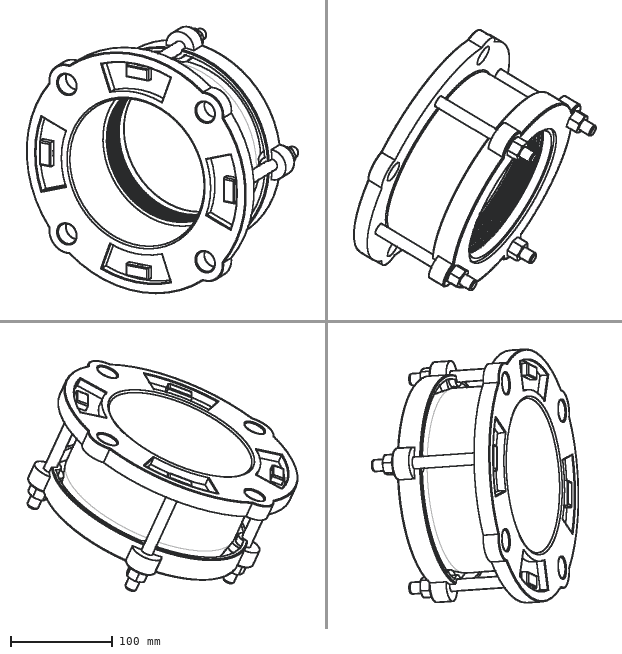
import cadquery as cq
import math

ORIGIN = cq.Vector(0, 0, 0)
AXIS = cq.Vector(0, 1, 0)

FLANGE_RADIUS = 125.0
FLANGE_THICKNESS = 16.5
FLANGE_EDGE = 0.8
EAR_OFFSET = 78.8
EAR_RADIUS = 20.5
EAR_HOLE_RADIUS = 20.8 / 2
EAR_HOLE_CHAMFER = 1.0

POCKET_INNER_RADIUS = 85.0
POCKET_OUTER_RADIUS = 114.5
POCKET_HALF_ANGLE = 20.0
POCKET_DEPTH = 8.5
POCKET_EDGE = 0.8

SLEEVE_RADIUS = 183.0 / 2
SLEEVE_ROOT = 1.2
SLEEVE_TAPER_START = 78.8
SLEEVE_TAPER_RADIUS = 87.5

GLAND_RADIUS = 105.0
GLAND_FRONT = 80.2
GLAND_BACK = 105.2
GLAND_FRONT_EDGE = 1.0
GLAND_BACK_EDGE = 1.2
RECESS_RADIUS = 100.8
RECESS_FLOOR = 95.0
LUG_RADIUS = 15.8
LUG_FRONT = 87.0
BOSS_RADIUS = 10.0

BORE_RADIUS = 153.0 / 2
BORE_CHAMFER = 2.0
SEAL_RADIUS = 145.0 / 2
SEAL_GROOVE_RADIUS = 149.0 / 2
SEAL_FRONT = 67.5
SEAL_RIB_END = 92.5
SEAL_BACK = 102.2
SEAL_GROOVES = 6

BOLT_COUNT = 4
BOLT_CIRCLE_RADIUS = 104.8
BOLT_RADIUS = 11.8 / 2
BOLT_HOLE_RADIUS = 12.0 / 2
BOLT_END = 130.2
BOLT_TIP_RADIUS = 10.0 / 2
BOLT_TIP_LENGTH = 1.5
HEAD_LENGTH = 25.5
HEAD_WIDTH = 12.2
HEAD_FRONT = 1.5
HEAD_END_CHAMFER = 1.5
HEAD_SIDE_CHAMFER = 1.0
NUT_ACROSS_FLATS = 18.2
NUT_HEIGHT = 11.8
NUT_CHAMFER = 1.0


def cylinder(radius, start, end, x=0, z=0):
    """Cylinder along Y from start to end, centred on (x, z)."""
    return cq.Workplane(cq.Solid.makeCylinder(radius, end - start, cq.Vector(x, start, z), AXIS))


def ring_of_four(shape):
    """The shape and its copies at quarter turns about the axis."""
    return [shape.rotate(ORIGIN, AXIS, 360 / BOLT_COUNT * i) for i in range(BOLT_COUNT)]


def add_all(body, shapes):
    for shape in shapes:
        body = body.union(shape)
    return body


def cut_all(body, shapes):
    for shape in shapes:
        body = body.cut(shape)
    return body


def make_flange():
    disc = cylinder(FLANGE_RADIUS, 0, FLANGE_THICKNESS).faces("<Y").chamfer(FLANGE_EDGE)
    ear = cylinder(EAR_RADIUS, 0, FLANGE_THICKNESS, EAR_OFFSET, EAR_OFFSET)
    flange = add_all(disc, ring_of_four(ear.faces("<Y").chamfer(FLANGE_EDGE)))
    hole = cylinder(EAR_HOLE_RADIUS, 0, FLANGE_THICKNESS, EAR_OFFSET, EAR_OFFSET)
    hole = hole.union(countersink(EAR_HOLE_RADIUS, EAR_HOLE_CHAMFER, EAR_OFFSET, EAR_OFFSET))
    return cut_all(flange, ring_of_four(hole))


def countersink(hole_radius, size, x=0, z=0):
    """Cone that breaks the front edge of a hole."""
    return cq.Workplane(cq.Solid.makeCone(hole_radius + size, hole_radius, size, cq.Vector(x, 0, z), AXIS))


def pocket_outline(plane, widening):
    """Wedge around +Z; its outer arc and its straight ends are moved out by the widening."""

    def on_arc(radius, side):
        angle = math.radians(POCKET_HALF_ANGLE) + math.asin(widening / radius)
        return (side * radius * math.sin(angle), radius * math.cos(angle))

    outer_radius = POCKET_OUTER_RADIUS + widening
    return (
        plane.moveTo(*on_arc(POCKET_INNER_RADIUS, -1))
        .threePointArc((0, POCKET_INNER_RADIUS), on_arc(POCKET_INNER_RADIUS, 1))
        .lineTo(*on_arc(outer_radius, 1))
        .threePointArc((0, outer_radius), on_arc(outer_radius, -1))
        .close()
    )


def make_pocket():
    """Wedge-shaped pocket with a bevelled rim on its outer side and at its ends."""
    pocket = pocket_outline(cq.Workplane("XZ"), 0).extrude(-POCKET_DEPTH)
    rim = pocket_outline(cq.Workplane("XZ"), POCKET_EDGE).workplane(offset=-POCKET_EDGE)
    bevel = pocket_outline(rim, 0).loft(ruled=True)
    return pocket.union(bevel.cut(cylinder(POCKET_INNER_RADIUS, 0, POCKET_EDGE)))


def make_sleeve_and_gland():
    """Revolved outside, with the recess between the sleeve and the gland rim."""
    ring = (
        cq.Workplane("XY")
        .moveTo(0, 0)
        .lineTo(SLEEVE_RADIUS + SLEEVE_ROOT, 0)
        .lineTo(SLEEVE_RADIUS + SLEEVE_ROOT, FLANGE_THICKNESS)
        .lineTo(SLEEVE_RADIUS, FLANGE_THICKNESS + SLEEVE_ROOT)
        .lineTo(SLEEVE_RADIUS, SLEEVE_TAPER_START)
        .lineTo(SLEEVE_TAPER_RADIUS, RECESS_FLOOR)
        .lineTo(RECESS_RADIUS, RECESS_FLOOR)
        .lineTo(RECESS_RADIUS, GLAND_FRONT)
        .lineTo(GLAND_RADIUS - GLAND_FRONT_EDGE, GLAND_FRONT)
        .lineTo(GLAND_RADIUS, GLAND_FRONT + GLAND_FRONT_EDGE)
        .lineTo(GLAND_RADIUS, GLAND_BACK - GLAND_BACK_EDGE)
        .lineTo(GLAND_RADIUS - GLAND_BACK_EDGE, GLAND_BACK)
        .lineTo(0, GLAND_BACK)
        .close()
        .revolve(360, (0, 0), (0, 1))
    )
    lug = cylinder(LUG_RADIUS, LUG_FRONT, GLAND_BACK, 0, BOLT_CIRCLE_RADIUS)
    ring = add_all(ring, ring_of_four(lug.faces(">Y").chamfer(GLAND_BACK_EDGE)))
    boss = cylinder(BOSS_RADIUS, GLAND_FRONT, GLAND_BACK, 0, BOLT_CIRCLE_RADIUS)
    inside_rim = cylinder(RECESS_RADIUS, GLAND_FRONT, GLAND_BACK)
    return add_all(ring, ring_of_four(boss.intersect(inside_rim)))


def make_bore():
    """Everything removed from the middle: bore, chamfer and seal grooves."""
    bore = cylinder(BORE_RADIUS, 0, SEAL_FRONT).union(countersink(BORE_RADIUS, BORE_CHAMFER))
    bore = bore.union(cylinder(SEAL_RADIUS, SEAL_FRONT, SEAL_BACK))
    bore = bore.union(cylinder(BORE_RADIUS, SEAL_BACK, GLAND_BACK))
    pitch = (SEAL_RIB_END - SEAL_FRONT) / SEAL_GROOVES
    for i in range(SEAL_GROOVES):
        groove_end = SEAL_RIB_END - pitch * i
        bore = bore.union(cylinder(SEAL_GROOVE_RADIUS, groove_end - pitch / 2, groove_end))
    return bore


def make_housing():
    body = make_flange().union(make_sleeve_and_gland()).cut(make_bore())
    body = cut_all(body, ring_of_four(make_pocket()))
    bolt_hole = cylinder(BOLT_HOLE_RADIUS, 0, GLAND_BACK, 0, BOLT_CIRCLE_RADIUS)
    return cut_all(body, ring_of_four(bolt_hole))


def make_nut():
    """Hexagon with one corner pointing away from the axis and a bevelled outer end."""
    corner_radius = NUT_ACROSS_FLATS / math.sqrt(3)
    nut_end = GLAND_BACK + NUT_HEIGHT
    hexagon = (
        cq.Workplane("XZ", origin=(0, GLAND_BACK, BOLT_CIRCLE_RADIUS))
        .transformed(rotate=(0, 0, 90))
        .polygon(6, 2 * corner_radius)
        .extrude(-NUT_HEIGHT)
    )
    bevel = cylinder(corner_radius, GLAND_BACK, nut_end, 0, BOLT_CIRCLE_RADIUS)
    return hexagon.intersect(bevel.faces(">Y").chamfer(NUT_CHAMFER))


def make_bolt():
    """Bolt above the axis: T-head resting on the pocket floor, shank, tip and nut."""
    head_height = POCKET_DEPTH - HEAD_FRONT
    head = (
        cq.Workplane("XZ", origin=(0, HEAD_FRONT, BOLT_CIRCLE_RADIUS))
        .rect(HEAD_LENGTH, HEAD_WIDTH)
        .extrude(-head_height)
    )
    head = head.faces("<Y").edges("|Z").chamfer(HEAD_END_CHAMFER)
    head = head.faces("<Y").edges("|X").chamfer(HEAD_SIDE_CHAMFER)
    tip_start = BOLT_END - BOLT_TIP_LENGTH
    shank = cylinder(BOLT_RADIUS, POCKET_DEPTH, tip_start, 0, BOLT_CIRCLE_RADIUS)
    tip_centre = cq.Vector(0, tip_start, BOLT_CIRCLE_RADIUS)
    tip = cq.Workplane(cq.Solid.makeCone(BOLT_RADIUS, BOLT_TIP_RADIUS, BOLT_TIP_LENGTH, tip_centre, AXIS))
    return head.union(shank).union(tip).union(make_nut())


housing = make_housing()
bolts = ring_of_four(make_bolt())
result = cq.Compound.makeCompound([body.solids().val() for body in [housing, *bolts]])